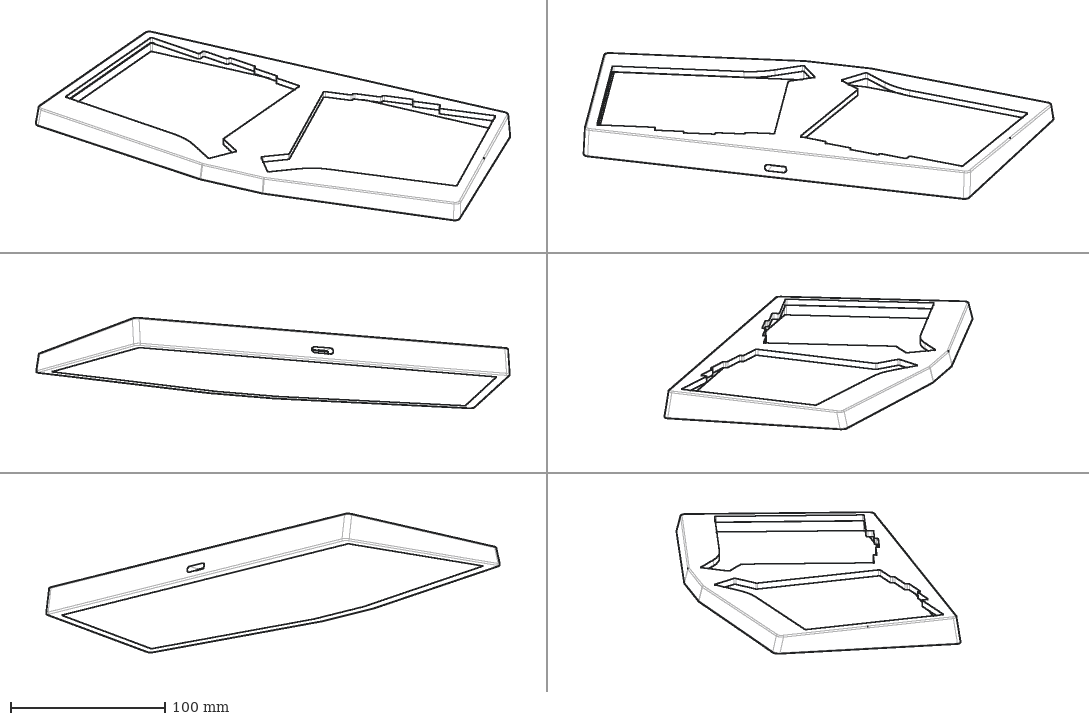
import cadquery as cq
import math

HEIGHT = 18.82
TOP_BACK_Y = 72.7
TOP_FRONT_Y = -73.2
TOP_CORNER_X = 151.05
FRONT_FLAT_HALF = 22.0
SPLAY = math.radians(10.0)
UNDERSIDE_TILT = math.radians(3.0)
BACK_DRAFT = math.radians(9.0)
FRONT_DRAFT = math.radians(14.0)
SIDE_DRAFT = math.radians(2.0)
CORNER_RADIUS = 3.6
EDGE_RADIUS = 1.0

TOP_PLATE = 4.0
WALL = 7.1
FLOOR_DEPTH = 10.6
INNER_CORNER_RADIUS = 1.0

KEY_PITCH = 19.05
KEY_CLEARANCE = 0.75
KEY_ROWS = 5
KEYS_U = -131.75
KEYS_V = -53.25
COLUMN_GROUPS = [(2, 0), (1, 1 / 4), (1, 3 / 8), (1, 1 / 4), (1, 1 / 8)]
THUMB_ANGLE = math.radians(-27.0)
THUMB_FRONT_U = -9.45
THUMB_FRONT_V = -67.8
THUMB_BEND_TANGENT = 10.5

SOCKET_WIDTH = 14.6
SOCKET_HEIGHT = 4.1
SOCKET_Z = 6.5

BOTTOM_BACK_Y = TOP_BACK_Y + HEIGHT * math.tan(BACK_DRAFT)


def case_outline(back_shift, front_shift, side_shift):
    """Six corners of the top face's outline, with each side moved outward by its shift."""
    slope = math.tan(SPLAY)
    stretch = 1 / math.cos(SPLAY)
    back_y = TOP_BACK_Y + back_shift
    front_y = TOP_FRONT_Y - front_shift

    slant_y = TOP_FRONT_Y - slope * FRONT_FLAT_HALF - stretch * front_shift
    flat_half = (front_y - slant_y) / slope

    top_corner_y = TOP_FRONT_Y + slope * (TOP_CORNER_X - FRONT_FLAT_HALF)
    side_x = TOP_CORNER_X + slope * top_corner_y + stretch * side_shift
    corner_x = (side_x - slope * slant_y) / (1 + slope**2)
    corner_y = slant_y + slope * corner_x

    back_x = side_x - slope * back_y
    right = [(flat_half, front_y), (corner_x, corner_y), (back_x, back_y)]
    left = [(-x, y) for x, y in reversed(right)]
    return right + left


def below_underside():
    """Everything under the tilted underside, which starts at the back bottom edge."""
    run = 2 * (TOP_BACK_Y - TOP_FRONT_Y)
    rise = run * math.tan(UNDERSIDE_TILT)
    return (
        cq.Workplane("YZ")
        .moveTo(BOTTOM_BACK_Y, 0)
        .lineTo(BOTTOM_BACK_Y - run, rise)
        .lineTo(BOTTOM_BACK_Y - run, -HEIGHT)
        .lineTo(BOTTOM_BACK_Y, -HEIGHT)
        .close()
        .extrude(2 * TOP_CORNER_X, both=True)
    )


def case_block():
    """The solid case: drafted walls, tilted underside, rounded corners and edges."""
    draft_shifts = [HEIGHT * math.tan(draft) for draft in (BACK_DRAFT, FRONT_DRAFT, SIDE_DRAFT)]
    block = (
        cq.Workplane("XY")
        .polyline(case_outline(*draft_shifts)).close()
        .workplane(offset=HEIGHT)
        .polyline(case_outline(0, 0, 0)).close()
        .loft(ruled=True)
        .cut(below_underside())
    )
    top_and_bottom = block.faces("<Z or >Z").edges().vals()
    wall_corners = block.edges().filter(lambda edge: not any(edge.isSame(rim) for rim in top_and_bottom))
    block = wall_corners.fillet(CORNER_RADIUS)
    return block.faces("<Z or >Z").edges().fillet(EDGE_RADIUS)


def inner_space(top_z):
    """The space within the walls, from below the case up to top_z."""
    return (
        cq.Workplane("XY", origin=(0, 0, -HEIGHT))
        .polyline(case_outline(-WALL, -WALL, -WALL)).close()
        .extrude(top_z + HEIGHT)
        .edges("|Z").fillet(INNER_CORNER_RADIUS)
    )


def stepped_back_edge(back_v):
    """Points along the staggered back of the key columns, from the outside in."""
    points = [(KEYS_U - KEY_CLEARANCE, back_v)]
    edge_u = KEYS_U
    for group, (count, stagger) in enumerate(COLUMN_GROUPS):
        edge_u += count * KEY_PITCH
        v = back_v + stagger * KEY_PITCH
        if group == len(COLUMN_GROUPS) - 1:
            points.append((edge_u + KEY_CLEARANCE, v))
            break
        next_stagger = COLUMN_GROUPS[group + 1][1]
        step_u = edge_u + math.copysign(KEY_CLEARANCE, stagger - next_stagger)
        points.append((step_u, v))
        points.append((step_u, back_v + next_stagger * KEY_PITCH))
    return points


def left_key_opening():
    """The opening in the top plate over the left half's keys."""
    front_v = KEYS_V - KEY_CLEARANCE
    back_v = KEYS_V + KEY_ROWS * KEY_PITCH + KEY_CLEARANCE
    back_edge = stepped_back_edge(back_v)
    outer_u = back_edge[0][0]
    inner_u = back_edge[-1][0]

    thumb_size = KEY_PITCH + 2 * KEY_CLEARANCE
    thumb_back_u = THUMB_FRONT_U - thumb_size * math.sin(THUMB_ANGLE)
    thumb_back_v = THUMB_FRONT_V + thumb_size * math.cos(THUMB_ANGLE)
    thumb_slope = math.tan(THUMB_ANGLE)
    notch_v = thumb_back_v + thumb_slope * (inner_u - thumb_back_u)
    bend_u = THUMB_FRONT_U + (front_v - THUMB_FRONT_V) / thumb_slope
    bend_radius = THUMB_BEND_TANGENT / math.tan(abs(THUMB_ANGLE) / 2)

    outline = [
        (outer_u, front_v),
        *back_edge,
        (inner_u, notch_v),
        (thumb_back_u, thumb_back_v),
        (THUMB_FRONT_U, THUMB_FRONT_V),
        (bend_u, front_v),
    ]
    plate_bottom = HEIGHT - TOP_PLATE
    opening = cq.Workplane("XY", origin=(0, 0, plate_bottom)).polyline(outline).close().extrude(TOP_PLATE)
    bend = cq.selectors.NearestToPointSelector((bend_u, front_v, plate_bottom + TOP_PLATE / 2))
    upright = cq.selectors.ParallelDirSelector(cq.Vector(0, 0, 1))
    opening = opening.edges(upright - bend).fillet(INNER_CORNER_RADIUS)
    opening = opening.edges("|Z").edges(bend).fillet(bend_radius)
    return opening.rotate((0, 0, 0), (0, 0, 1), -math.degrees(SPLAY))


def socket():
    """The round-ended slot through the back wall."""
    return (
        cq.Workplane("XZ", origin=(0, BOTTOM_BACK_Y, SOCKET_Z))
        .slot2D(SOCKET_WIDTH, SOCKET_HEIGHT)
        .extrude(BOTTOM_BACK_Y - TOP_BACK_Y + WALL)
    )


def build_case(block):
    """The walls and top plate, open at the bottom."""
    opening = left_key_opening()
    return (
        block.cut(inner_space(HEIGHT - TOP_PLATE))
        .cut(opening)
        .cut(opening.mirror("YZ"))
        .cut(socket())
    )


def build_base(block):
    """The wedge that closes the bottom: a level floor above the tilted underside."""
    return block.intersect(inner_space(HEIGHT - FLOOR_DEPTH))


solid_block = case_block()
case = build_case(solid_block)
base = build_base(solid_block)

result = cq.Compound.makeCompound([case.val(), base.val()])